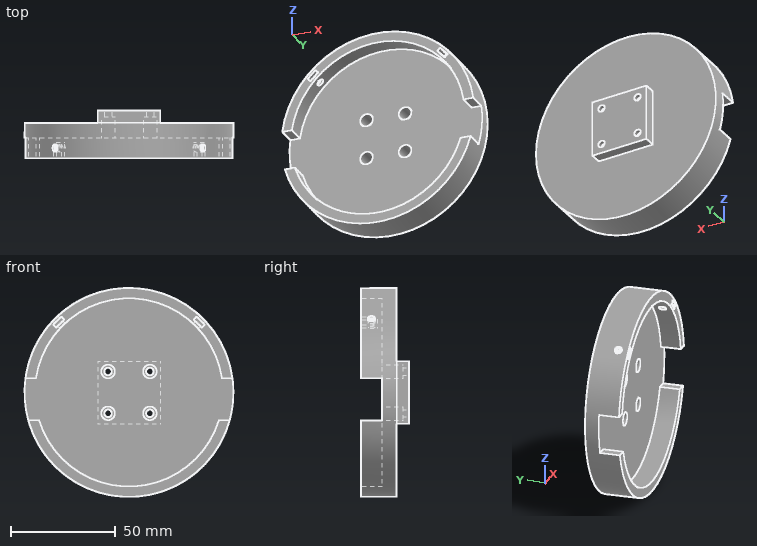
import cadquery as cq
import math

outer_diameter = 100.0
wall_thickness = 5.0
floor_thickness = 7.0
wall_height = 10.0
boss_side = 30.0
boss_height = 6.0

opening_height = 20.0
opening_top = 20.0 / 3

mount_spacing = 20.0
mount_diameter = 3.5
counterbore_diameter = 6.5
counterbore_depth = 10.0

screw_diameter = 3.5
screw_angles = (45.0, 135.0)
screw_depth_from_rim = 5.0
nut_width = 5.5
nut_thickness = 2.0
nut_slot_depth = screw_depth_from_rim + nut_width / 2

outer_radius = outer_diameter / 2
inner_radius = outer_radius - wall_thickness
wall_middle_radius = outer_radius - wall_thickness / 2
floor_y = -floor_thickness
rim_y = floor_y - wall_height


def facing_front(y):
    """Workplane at the given Y with its normal along -Y, local x = X, local y = Z."""
    return cq.Workplane("XZ", origin=(0, y, 0))


def make_dish():
    disc = facing_front(0).circle(outer_radius).extrude(-rim_y)
    cavity = facing_front(floor_y).circle(inner_radius).extrude(wall_height)
    boss = facing_front(boss_height).rect(boss_side, boss_side).extrude(boss_height)
    return disc.cut(cavity).union(boss)


def make_side_opening():
    return (
        facing_front(floor_y)
        .center(0, opening_top - opening_height / 2)
        .rect(outer_diameter, opening_height)
        .extrude(wall_height)
    )


def cut_mounting_holes(body):
    return (
        body.copyWorkplane(facing_front(floor_y))
        .rect(mount_spacing, mount_spacing, forConstruction=True)
        .vertices()
        .cboreHole(mount_diameter, counterbore_diameter, counterbore_depth)
    )


def make_clamp_screw(angle):
    """Radial screw hole through the wall and its nut slot, turned to the given angle."""
    direction = cq.Vector(math.cos(math.radians(angle)), 0, math.sin(math.radians(angle)))
    hole_y = rim_y + screw_depth_from_rim
    start = direction * (inner_radius - wall_thickness) + cq.Vector(0, hole_y, 0)
    hole_length = 3 * wall_thickness
    hole = cq.Workplane(cq.Solid.makeCylinder(screw_diameter / 2, hole_length, start, direction))
    slot = (
        facing_front(rim_y)
        .transformed(rotate=(0, 0, angle))
        .center(wall_middle_radius, 0)
        .rect(nut_thickness, nut_width)
        .extrude(-nut_slot_depth)
    )
    return hole.union(slot)


result = make_dish().cut(make_side_opening())
result = cut_mounting_holes(result)
for screw_angle in screw_angles:
    result = result.cut(make_clamp_screw(screw_angle))